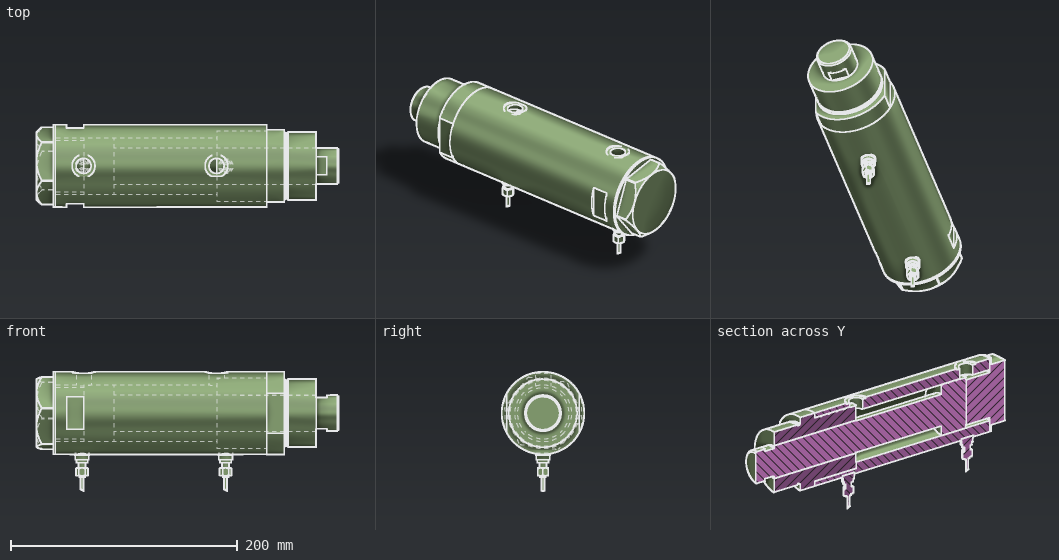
import cadquery as cq
import math

length = 266.5
body_radius = 36.5
bore_radius = 25.0
rod_radius = 16.0

flange_start = 14.7
barrel_start = 16.5
barrel_end = 203.4
collar_end = 218.8
nose_start = 222.0
nose_end = 246.8

hex_face_radius = 29.9
hex_flat_distance = 29.98
hex_corner_radius = 34.5
hex_corner_angle = 52.6
cap_boss_radius = 22.7

port_positions = (41.5, 158.8)
port_radius = 6.7
port_seat_radius = 10.0
port_seat_depth = 1.2

barrel_flat_start = 26.7
barrel_flat_length = 15.0
barrel_flat_distance = 33.5

head_spigot_radius = 31.2
collar_flat_distance = 32.0
nose_radius = 30.0
groove_radius = 29.0
groove_slope = nose_radius - groove_radius
groove_floor = 1.0

piston_length = 26.7
rod_flat_end = 256.0
rod_flat_distance = 13.9
rod_chamfer = 1.3

sensor_positions = (40.2, 166.8)
sensor_seat_z = -35.2
sensor_flange_radius = 6.5
sensor_flange_bottom = -37.3
sensor_body_radius = 6.0
sensor_body_bottom = -41.3
sensor_step_radius = 5.0
sensor_step_bottom = -44.0
sensor_neck_radius = 3.2
sensor_neck_bottom = -48.2
sensor_hex_width = 9.3
sensor_hex_chamfer = 0.8
sensor_hex_bottom = -55.5
sensor_tip_radius = 2.7
sensor_tip_bottom = -56.5
cable_radius = 1.47
cable_bottom = -68.8
cable_end_slant = 1.5


def disc(start, end, radius):
    """Solid cylinder about the X axis."""
    return cq.Workplane("YZ").workplane(offset=start).circle(radius).extrude(end - start)


def upright(bottom, top, radius):
    """Solid cylinder about the Z axis."""
    return cq.Workplane("XY").workplane(offset=bottom).circle(radius).extrude(top - bottom)


def revolved(points):
    """Solid turned about the X axis from an (x, radius) outline."""
    return cq.Workplane("XY").polyline(points).close().revolve(360, (0, 0, 0), (1, 0, 0))


def flat_cutters(start, end, distance, axis):
    """Two blocks that leave parallel flats at the given distance from the axis, facing along Y or Z."""
    span = 2 * body_radius
    blocks = cq.Workplane("XY")
    for side in (-1, 1):
        offset = side * (distance + body_radius / 2)
        if axis == "Y":
            block = cq.Workplane("XY").box(end - start, body_radius, span).translate((0, offset, 0))
        else:
            block = cq.Workplane("XY").box(end - start, span, body_radius).translate((0, 0, offset))
        blocks = blocks.add(block.translate(((start + end) / 2, 0, 0)))
    return blocks.combine()


def hex_prism_end():
    """Hexagon with trimmed corners and a 45 degree chamfer around the front face."""
    sharp_diameter = 2 * hex_flat_distance / math.cos(math.pi / 6)
    prism = cq.Workplane("YZ").polygon(6, sharp_diameter).extrude(flange_start)
    prism = prism.rotate((0, 0, 0), (1, 0, 0), hex_corner_angle)
    chamfer_depth = hex_corner_radius - hex_face_radius
    envelope = revolved([
        (0, 0),
        (0, hex_face_radius),
        (chamfer_depth, hex_corner_radius),
        (flange_start, hex_corner_radius),
        (flange_start, 0),
    ])
    return prism.intersect(envelope)


def make_cap():
    flange = disc(flange_start, barrel_start, body_radius)
    boss = disc(barrel_start, port_positions[0], cap_boss_radius)
    return hex_prism_end().union(flange).union(boss)


def make_barrel():
    barrel = disc(barrel_start, barrel_end, body_radius)
    barrel = barrel.cut(disc(barrel_start, barrel_end, bore_radius))
    barrel = barrel.cut(disc(port_positions[1], barrel_end, head_spigot_radius))
    flat_end = barrel_flat_start + barrel_flat_length
    barrel = barrel.cut(flat_cutters(barrel_flat_start, flat_end, barrel_flat_distance, "Y"))
    port_seat_z = body_radius - port_seat_depth
    for x in port_positions:
        barrel = barrel.cut(upright(0, body_radius, port_radius).translate((x, 0, 0)))
        barrel = barrel.cut(upright(port_seat_z, body_radius, port_seat_radius).translate((x, 0, 0)))
    for x in sensor_positions:
        seat = upright(-body_radius, sensor_seat_z, sensor_flange_radius)
        barrel = barrel.cut(seat.translate((x, 0, 0)))
    return barrel


def make_head():
    groove_end = nose_start - groove_slope
    head = revolved([
        (port_positions[1], rod_radius),
        (port_positions[1], head_spigot_radius),
        (barrel_end, head_spigot_radius),
        (barrel_end, body_radius),
        (collar_end, body_radius),
        (collar_end, nose_radius),
        (groove_end - groove_floor, groove_radius),
        (groove_end, groove_radius),
        (nose_start, nose_radius),
        (nose_end, nose_radius),
        (nose_end, rod_radius),
    ])
    return head.cut(flat_cutters(barrel_end, collar_end, collar_flat_distance, "Y"))


def make_piston_rod():
    piston = disc(port_positions[0], port_positions[0] + piston_length, bore_radius)
    rod = disc(port_positions[0], length, rod_radius).faces(">X").chamfer(rod_chamfer)
    rod = rod.cut(flat_cutters(nose_end, rod_flat_end, rod_flat_distance, "Z"))
    return piston.union(rod)


def make_sensor_nut():
    """Hexagon with one corner toward +X and its corners chamfered at both ends."""
    corner_diameter = sensor_hex_width / math.cos(math.pi / 6)
    height = sensor_neck_bottom - sensor_hex_bottom
    base = cq.Workplane("XY").workplane(offset=sensor_hex_bottom)
    hexagon = base.polygon(6, corner_diameter).extrude(height)
    envelope = base.circle(corner_diameter / 2).extrude(height).edges().chamfer(sensor_hex_chamfer)
    return hexagon.intersect(envelope)


def make_cable():
    """Cable stub whose lower end is cut on a slant, lowest toward +X."""
    cable = upright(cable_bottom, sensor_tip_bottom, cable_radius)
    slant_cut = (
        cq.Workplane("XZ")
        .polyline([
            (-cable_radius, cable_bottom),
            (cable_radius, cable_bottom),
            (-cable_radius, cable_bottom + cable_end_slant),
        ])
        .close()
        .extrude(cable_radius, both=True)
    )
    return cable.cut(slant_cut)


def make_sensor(x):
    sensor = upright(sensor_flange_bottom, sensor_seat_z, sensor_flange_radius)
    sensor = sensor.union(upright(sensor_body_bottom, sensor_flange_bottom, sensor_body_radius))
    sensor = sensor.union(upright(sensor_step_bottom, sensor_body_bottom, sensor_step_radius))
    sensor = sensor.union(upright(sensor_neck_bottom, sensor_step_bottom, sensor_neck_radius))
    tip = upright(sensor_tip_bottom, sensor_hex_bottom, sensor_tip_radius)
    sensor = sensor.union(make_sensor_nut()).union(tip).union(make_cable())
    return sensor.translate((x, 0, 0))


cap = make_cap()
barrel = make_barrel()
head = make_head()
piston_rod = make_piston_rod()
sensors = [make_sensor(x) for x in sensor_positions]

result = cq.Compound.makeCompound([
    cap.val(),
    barrel.val(),
    head.val(),
    piston_rod.val(),
    *[sensor.val() for sensor in sensors],
])